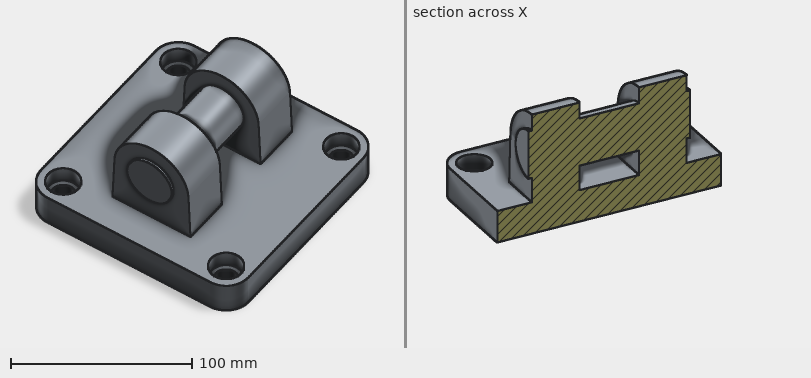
import cadquery as cq
import math

PLATE_SIDE = 140.0
PLATE_THICKNESS = 20.0
PLATE_CORNER_RADIUS = 15.0

HOLE_SPACING = PLATE_SIDE - 2 * PLATE_CORNER_RADIUS
HOLE_DIAMETER = 13.5
COUNTERBORE_DIAMETER = 20.0
COUNTERBORE_DEPTH = 10.0

LUG_TOP_RADIUS = 25.0
LUG_THICKNESS = 30.0
LUG_GAP = 37.0
LUG_FLANK_TAPER = math.radians(2.5)

PIN_DIAMETER = 30.0
PIN_PROTRUSION = 2.0
PIN_AXIS_HEIGHT = 50.0
PIN_LENGTH = LUG_GAP + 2 * (LUG_THICKNESS + PIN_PROTRUSION)


def make_plate():
    """Square plate with rounded vertical corners, resting on Z = 0."""
    plate = cq.Workplane("XY").box(PLATE_SIDE, PLATE_SIDE, PLATE_THICKNESS, centered=(True, True, False))
    plate = plate.edges("|Z").fillet(PLATE_CORNER_RADIUS)
    return (
        plate.faces(">Z")
        .workplane()
        .rect(HOLE_SPACING, HOLE_SPACING, forConstruction=True)
        .vertices()
        .cboreHole(HOLE_DIAMETER, COUNTERBORE_DIAMETER, COUNTERBORE_DEPTH)
    )


def extrude_along_y(profile, length, y_center):
    """Extrude an XZ profile evenly about its plane and centre it at y_center."""
    return profile.extrude(length / 2, both=True).translate((0, y_center, 0))


def make_lug(y_center):
    """Lug with a round top and tapered flanks tangent to it."""
    tangent_x = LUG_TOP_RADIUS * math.cos(LUG_FLANK_TAPER)
    tangent_z = PIN_AXIS_HEIGHT + LUG_TOP_RADIUS * math.sin(LUG_FLANK_TAPER)
    foot_x = tangent_x + (tangent_z - PLATE_THICKNESS) * math.tan(LUG_FLANK_TAPER)
    profile = (
        cq.Workplane("XZ")
        .moveTo(-foot_x, PLATE_THICKNESS)
        .lineTo(foot_x, PLATE_THICKNESS)
        .lineTo(tangent_x, tangent_z)
        .threePointArc((0, PIN_AXIS_HEIGHT + LUG_TOP_RADIUS), (-tangent_x, tangent_z))
        .close()
    )
    return extrude_along_y(profile, LUG_THICKNESS, y_center)


def make_pin():
    """Solid pin that stands slightly proud of both outer lug faces."""
    profile = cq.Workplane("XZ").center(0, PIN_AXIS_HEIGHT).circle(PIN_DIAMETER / 2)
    return extrude_along_y(profile, PIN_LENGTH, 0)


result = make_plate()
lug_offset = (LUG_GAP + LUG_THICKNESS) / 2
for side in (-1, 1):
    result = result.union(make_lug(side * lug_offset))
result = result.union(make_pin())